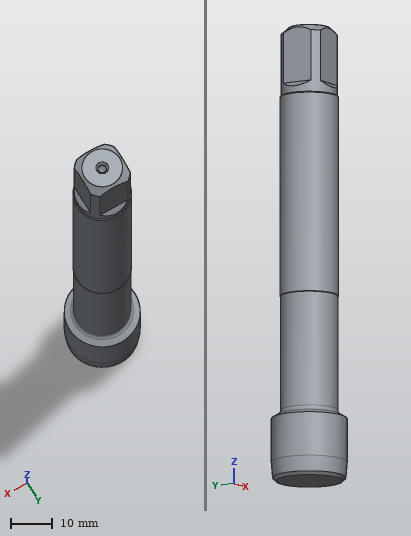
import cadquery as cq
import math

total_length = 110.0

head_diameter = 18.2
head_top = 15.1
lead_top = 4.5
lead_end_diameter = 17.5
lead_bottom = 0.8
nose_diameter = 15.8

neck_diameter = 13.8
flare_radius = 1.3
cone_slope = math.radians(30)

guide_diameter = 14.0
guide_bottom = 44.8
guide_top = 93.4
guide_bottom_chamfer = (guide_diameter - neck_diameter) / 2
drive_diameter = 13.4
guide_top_chamfer = (guide_diameter - drive_diameter) / 2

square_width = 11.0
square_bottom = 96.1
tip_diameter = 9.7
tip_chamfer_height = 1.6

countersink_diameter = 3.0
pilot_diameter = 2.0
pilot_depth = 1.0
countersink_depth = (countersink_diameter - pilot_diameter) / 2
drill_tip_depth = pilot_diameter / 2


def revolve_about_z(outline):
    """Revolve a (radius, height) outline drawn from the axis and back to it."""
    return outline.close().revolve(360, (0, 0, 0), (0, 1, 0))


def make_head():
    radius = head_diameter / 2
    outline = (
        cq.Workplane("XZ")
        .moveTo(0, head_top)
        .lineTo(radius, head_top)
        .lineTo(radius, lead_top)
        .tangentArcPoint((lead_end_diameter / 2, lead_bottom), relative=False)
        .lineTo(nose_diameter / 2, 0)
        .lineTo(0, 0)
    )
    return revolve_about_z(outline)


def make_shank_blank():
    """Turned shank from the shoulder cone up to the chamfered tip."""
    neck_radius = neck_diameter / 2
    guide_radius = guide_diameter / 2
    drive_radius = drive_diameter / 2
    cone_top_radius = neck_radius + flare_radius * (1 - math.sin(cone_slope))
    cone_top = head_top + (head_diameter / 2 - cone_top_radius) * math.tan(cone_slope)
    neck_bottom = cone_top + flare_radius * math.cos(cone_slope)
    outline = (
        cq.Workplane("XZ")
        .moveTo(0, total_length)
        .lineTo(tip_diameter / 2, total_length)
        .lineTo(drive_radius, total_length - tip_chamfer_height)
        .lineTo(drive_radius, guide_top)
        .lineTo(guide_radius, guide_top - guide_top_chamfer)
        .lineTo(guide_radius, guide_bottom + guide_bottom_chamfer)
        .lineTo(neck_radius, guide_bottom)
        .lineTo(neck_radius, neck_bottom)
        .tangentArcPoint((cone_top_radius, cone_top), relative=False)
        .lineTo(head_diameter / 2, head_top)
        .lineTo(0, head_top)
    )
    return revolve_about_z(outline)


def make_flat_cutter():
    """Prism on the +X side that cuts one flat and its sloping run-out."""
    flat = square_width / 2
    reach = guide_diameter / 2
    return (
        cq.Workplane("XZ")
        .polyline([
            (flat, square_bottom),
            (flat, total_length),
            (reach, total_length),
            (reach, square_bottom - (reach - flat)),
        ])
        .close()
        .extrude(reach, both=True)
    )


def make_center_hole():
    countersink_bottom = total_length - countersink_depth
    pilot_bottom = total_length - pilot_depth
    outline = (
        cq.Workplane("XZ")
        .moveTo(0, total_length)
        .lineTo(countersink_diameter / 2, total_length)
        .lineTo(pilot_diameter / 2, countersink_bottom)
        .lineTo(pilot_diameter / 2, pilot_bottom)
        .lineTo(0, pilot_bottom - drill_tip_depth)
    )
    return revolve_about_z(outline)


def make_shank():
    shank = make_shank_blank().cut(make_center_hole())
    flat_cutter = make_flat_cutter()
    for angle in (0, 90, 180, 270):
        shank = shank.cut(flat_cutter.rotate((0, 0, 0), (0, 0, 1), angle))
    return shank


head = make_head()
shank = make_shank()

result = cq.Compound.makeCompound([head.val(), shank.val()])